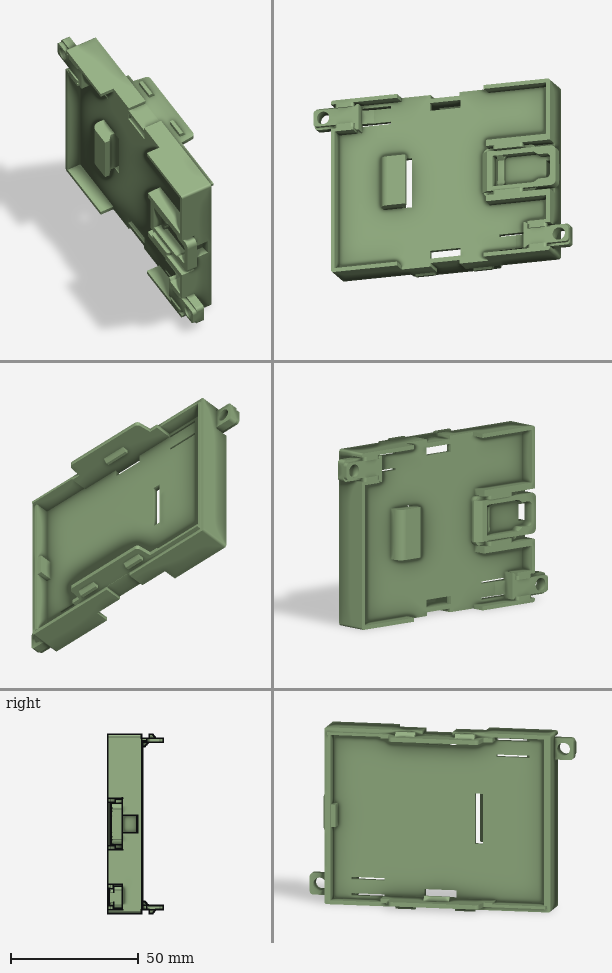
import cadquery as cq
import math


half_width = 45.3
half_height = 70.2 / 2
shell_depth = 13.3
wall = 1.6
corner_radius = 1.0
floor_y = 5.7
floor_thickness = 2.1
floor_back_y = floor_y + floor_thickness
inner_half_width = half_width - wall
inner_half_height = half_height - wall
rail_channel_half_width = 17.9

recess_half_width = 6.0
recess_depth = 1.5
window_half_width = 6.3
window_height = 3.2

rim_thickness = 1.1
rim_top_y = 15.2
side_rim_top_y = 13.6
tongue_thickness = 1.7
tongue_wall_half_width = 22.4
tongue_base_half_width = 18.8
tongue_tip_half_width = 17.9
tongue_tip_y = 21.7
tongue_corner_radius = 1.6
tongue_inner_z = inner_half_height - tongue_thickness
snap_centre_x = 11.9
snap_length = 7.8
snap_front_y = 16.1
snap_flat_y = 17.5
snap_back_y = 18.8
catch_half_width = 5.1
catch_height = 1.6
catch_tip_y = 14.5
catch_back_y = 15.9

hook_left_x = -25.3
hook_tip_x = -14.6
hook_root_x = -17.0
hook_half_length = 10.0
hook_tip_thickness = 1.9
hook_throat_y = 3.9
hook_radius = 3.3
hook_window_right_x = -13.7

guide_outer_z = 12.6
guide_inner_z = 10.0
guide_lip_z = 8.4
guide_lip_depth = 3.0
guide_lip_start_x = 21.5
guide_lip_end_x = 33.8
guide_front_x = 18.8
guide_draft = 0.3
lip_radius = 1.1

notch_left_x = 41.8
notch_half_height = 3.4
notch_depth_y = 11.4
notch_slope = 0.26
notch_wall = 1.1

clip_half_height = 8.1
clip_front_y = 1.5
clip_frame_start_x = 21.1
clip_frame_end_x = 47.2
clip_corner_radius = 2.1
clip_flange_start_x = 16.8
clip_flange_end_x = 38.5
clip_flange_half_height = 9.7
clip_flange_radius = 2.1
nose_tip_x = 16.3
nose_tip_front_y = 3.2
nose_tip_back_y = 4.1
nose_flat_x = 18.9
nose_front_y = 1.1
clip_window_half_height = 6.2
clip_window_end_x = 44.8
clip_window_narrow_half_height = 5.0
clip_window_taper_start_x = 38.1
clip_window_taper_end_x = 40.0
clip_window_radius = 1.7
spring_left_x = 22.6
spring_width = 2.3
spring_front_y = 3.9
spring_bulb_radius = 1.5
spring_bulb_z = -4.1
spring_root_radius = 1.6
spring_root_drop = 1.5

tab_centre_z = 28.6
tab_end_x = 52.8
tab_front_y = 0.6
tab_step_y = 2.3
tab_wide_half_height = 8.5 / 2
tab_narrow_half_height = 6.6 / 2
tab_corner_radius = 1.4
tab_hole_diameter = 5.1
tab_hole_x = 48.8
stop_outer_x = 35.7
stop_inner_x = 34.1
stop_low_z = 22.4
stop_chamfer = 0.8
tab_lip_depth = 2.2
tab_lip_end_x = 36.1
channel_low_z = 23.6
channel_wall = 1.3
latch_slot_inner_x = 22.4
latch_slot_height = 1.0
latch_half_height = 2.7
latch_ramp_x = 29.3
latch_rise = 0.8


def block(x0, x1, y0, y1, z0, z1):
    """Rectangular block between two opposite corners."""
    return cq.Workplane("XY").box(x1 - x0, y1 - y0, z1 - z0, centered=False).translate((x0, y0, z0))


def turned(shape):
    """The same shape after half a turn about the Y axis."""
    return shape.rotate((0, 0, 0), (0, 1, 0), 180)


def front_sketch(y1):
    """Workplane in X and Z; a positive extrusion runs from y1 toward the mounting face."""
    return cq.Workplane("XZ", origin=(0, y1, 0))


def lip(x0, x1, depth, z0, z1):
    """Retaining lip whose two ends are rounded toward the mounting face."""
    strip = block(x0, x1, 0, depth, z0, z1)
    return strip.edges("|Z and <Y").fillet(lip_radius)


def make_shell():
    shell = block(-half_width, half_width, 0, shell_depth, -half_height, half_height)
    shell = shell.edges("|Y").fillet(corner_radius)
    front_pocket = block(
        -inner_half_width, inner_half_width, 0, floor_y, -inner_half_height, inner_half_height
    )
    back_pocket = block(
        -inner_half_width, inner_half_width, floor_back_y, shell_depth, -inner_half_height, inner_half_height
    )
    rail_channel = block(
        -rail_channel_half_width, rail_channel_half_width, 0, floor_y, -half_height, half_height
    )
    return shell.cut(front_pocket).cut(back_pocket).cut(rail_channel)


def make_top_rim():
    """Rim along the top wall with its snap-in tongue, snap ridges and inner catch."""
    thin_rim = block(
        -tongue_wall_half_width, inner_half_width, floor_back_y, rim_top_y,
        inner_half_height - rim_thickness, inner_half_height,
    )
    thick_rim = block(
        -tongue_wall_half_width, tongue_wall_half_width, floor_y, rim_top_y,
        tongue_inner_z, inner_half_height,
    )
    tongue = (
        cq.Workplane("XY", origin=(0, 0, tongue_inner_z))
        .polyline([
            (-tongue_base_half_width, rim_top_y),
            (tongue_base_half_width, rim_top_y),
            (tongue_tip_half_width, tongue_tip_y),
            (-tongue_tip_half_width, tongue_tip_y),
        ])
        .close()
        .extrude(tongue_thickness)
        .edges("|Z and >Y")
        .fillet(tongue_corner_radius)
    )
    rim = thick_rim.union(thin_rim).union(tongue)

    for centre_x in (-snap_centre_x, snap_centre_x):
        ridge = (
            cq.Workplane("YZ", origin=(centre_x - snap_length / 2, 0, 0))
            .polyline([
                (snap_front_y, inner_half_height),
                (snap_front_y, half_height),
                (snap_flat_y, half_height),
                (snap_back_y, inner_half_height),
            ])
            .close()
            .extrude(snap_length)
        )
        rim = rim.union(ridge)

    catch = (
        cq.Workplane("YZ", origin=(-catch_half_width, 0, 0))
        .polyline([
            (shell_depth, tongue_inner_z),
            (shell_depth, tongue_inner_z - catch_height),
            (catch_tip_y, tongue_inner_z - catch_height),
            (catch_back_y, tongue_inner_z),
        ])
        .close()
        .extrude(2 * catch_half_width)
    )
    return rim.union(catch)


def make_left_rim():
    """Low rim along the inside of the left wall."""
    return block(
        -inner_half_width, rim_thickness - inner_half_width, floor_back_y, side_rim_top_y,
        -inner_half_height, inner_half_height,
    )


def make_top_openings():
    """Outer recess of the top wall and the window through the floor beside it."""
    recess = block(
        -recess_half_width, recess_half_width, 0, shell_depth, half_height - recess_depth, half_height
    )
    window = block(
        -window_half_width, window_half_width, floor_y, floor_back_y,
        tongue_inner_z - window_height, tongue_inner_z,
    )
    return recess.union(window)


def make_rail_hook():
    arc_offset = hook_radius * (1 - math.sqrt(0.5))
    return (
        cq.Workplane("XY", origin=(0, 0, -hook_half_length))
        .moveTo(hook_left_x, floor_y)
        .lineTo(hook_left_x, hook_radius)
        .threePointArc((hook_left_x + arc_offset, arc_offset), (hook_left_x + hook_radius, 0))
        .lineTo(hook_tip_x, 0)
        .lineTo(hook_tip_x, hook_tip_thickness)
        .lineTo(hook_root_x, hook_throat_y)
        .lineTo(hook_root_x, floor_y)
        .close()
        .extrude(2 * hook_half_length)
    )


def make_clip_guide():
    """Upper guide of the clip: a wall with a retaining lip over the clip flange."""
    guide = (
        cq.Workplane("XY", origin=(0, 0, guide_inner_z))
        .polyline([
            (guide_front_x, 0),
            (half_width, 0),
            (half_width, floor_y),
            (guide_front_x - guide_draft, floor_y),
        ])
        .close()
        .extrude(guide_outer_z - guide_inner_z)
    )
    return guide.union(
        lip(guide_lip_start_x, guide_lip_end_x, guide_lip_depth, guide_lip_z, guide_inner_z)
    )


def make_notch_surround():
    """Block behind the floor that closes the pry notch."""
    return block(
        notch_left_x - notch_wall, inner_half_width, floor_back_y, shell_depth,
        -notch_half_height - notch_wall, notch_half_height + notch_wall,
    )


def make_notch():
    """Pry notch, open to the side, with a slightly sloping bottom."""
    return (
        cq.Workplane("XY", origin=(0, 0, -notch_half_height))
        .polyline([
            (notch_left_x, floor_y),
            (half_width, floor_y),
            (half_width, notch_depth_y + notch_slope),
            (notch_left_x, notch_depth_y),
        ])
        .close()
        .extrude(2 * notch_half_height)
    )


def make_tab_channel():
    """Lower wall of the top left tab channel and the two lips that hold the tab."""
    lower_wall = block(
        -half_width, -tab_lip_end_x, 0, floor_y, channel_low_z - channel_wall, channel_low_z
    )
    upper_lip = lip(
        -inner_half_width, -tab_lip_end_x, tab_lip_depth,
        tab_centre_z + tab_narrow_half_height, inner_half_height,
    )
    lower_lip = lip(
        -inner_half_width, -tab_lip_end_x, tab_lip_depth,
        channel_low_z, tab_centre_z - tab_narrow_half_height,
    )
    return lower_wall.union(upper_lip).union(lower_lip)


def make_tab_entry():
    """Opening of the top left tab channel through the left wall."""
    return block(-half_width, -inner_half_width, 0, floor_y, channel_low_z, inner_half_height)


def make_latch_tooth():
    """Ramp on the springy floor strip that blocks the top left tab."""
    return (
        cq.Workplane("XY", origin=(0, 0, tab_centre_z - latch_half_height))
        .polyline([
            (-stop_inner_x, floor_y),
            (-stop_inner_x, floor_y - latch_rise),
            (-latch_ramp_x, floor_y),
        ])
        .close()
        .extrude(2 * latch_half_height)
    )


def make_latch_slots():
    """Two slots through the floor that free the springy strip of the top left latch."""
    upper_slot = block(
        -stop_outer_x, -latch_slot_inner_x, floor_y, floor_back_y,
        tab_centre_z + latch_half_height, tab_centre_z + latch_half_height + latch_slot_height,
    )
    return upper_slot.union(upper_slot.mirror("XY", (0, 0, tab_centre_z)))


def make_housing():
    clip_entry = block(inner_half_width, half_width, 0, floor_y, -guide_inner_z, guide_inner_z)
    hook_window = block(
        hook_root_x, hook_window_right_x, floor_y, floor_back_y, -hook_half_length, hook_half_length
    )
    guide = make_clip_guide()
    housing = make_shell().cut(clip_entry).cut(hook_window).union(make_rail_hook())
    housing = housing.union(guide).union(guide.mirror("XY"))
    housing = housing.union(make_notch_surround())

    half_additions = [make_top_rim(), make_left_rim(), make_tab_channel(), make_latch_tooth()]
    half_cuts = [make_top_openings(), make_tab_entry(), make_latch_slots()]
    for cutter in half_cuts:
        housing = housing.cut(cutter).cut(turned(cutter))
    for addition in half_additions:
        housing = housing.union(addition).union(turned(addition))
    return housing.cut(make_notch())


def make_clip_window():
    """Opening of the clip frame, narrower and rounded at its outer end."""
    outline = [
        (clip_frame_start_x, clip_window_half_height),
        (clip_window_taper_start_x, clip_window_half_height),
        (clip_window_taper_end_x, clip_window_narrow_half_height),
        (clip_window_end_x, clip_window_narrow_half_height),
    ]
    outline += [(x, -z) for x, z in reversed(outline)]
    window = front_sketch(floor_y).polyline(outline).close().extrude(floor_y)
    return window.edges("|Y and >X").fillet(clip_window_radius)


def make_spring():
    """Spring arm in the clip window, hanging from the frame and ending in a bulb."""
    spring_right_x = spring_left_x + spring_width
    spring_centre_x = spring_left_x + spring_width / 2
    depth = floor_y - spring_front_y
    arm = block(
        spring_left_x, spring_right_x, spring_front_y, floor_y, spring_bulb_z, clip_window_half_height
    )
    bulb = (
        front_sketch(floor_y).center(spring_centre_x, spring_bulb_z).circle(spring_bulb_radius).extrude(depth)
    )
    arc_offset = spring_root_radius * (1 - math.sqrt(0.5))
    root_z = clip_window_half_height
    root_fillet = (
        front_sketch(floor_y)
        .moveTo(spring_right_x, root_z)
        .lineTo(spring_right_x + spring_root_radius, root_z)
        .threePointArc(
            (spring_right_x + arc_offset, root_z - arc_offset),
            (spring_right_x, root_z - spring_root_radius),
        )
        .close()
        .extrude(depth)
    )
    root_slope = (
        cq.Workplane("YZ", origin=(spring_left_x, 0, 0))
        .polyline([
            (clip_front_y, root_z),
            (spring_front_y, root_z),
            (spring_front_y, root_z - spring_root_drop),
        ])
        .close()
        .extrude(spring_width)
    )
    return arm.union(bulb).union(root_fillet).union(root_slope)


def make_clip():
    frame = block(
        clip_frame_start_x, clip_frame_end_x, clip_front_y, floor_y, -clip_half_height, clip_half_height
    )
    frame = frame.edges("|Y and >X").fillet(clip_corner_radius)
    flange = block(
        clip_flange_start_x, clip_flange_end_x, guide_lip_depth, floor_y,
        -clip_flange_half_height, clip_flange_half_height,
    )
    flange = flange.edges("|Y").fillet(clip_flange_radius)
    nose = (
        cq.Workplane("XY", origin=(0, 0, -clip_half_height))
        .polyline([
            (nose_tip_x, nose_tip_front_y),
            (nose_flat_x, nose_front_y),
            (clip_frame_start_x, nose_front_y),
            (clip_frame_start_x, nose_tip_back_y),
            (nose_tip_x, nose_tip_back_y),
        ])
        .close()
        .extrude(2 * clip_half_height)
    )
    return frame.union(flange).union(nose).cut(make_clip_window()).union(make_spring())


def make_tab():
    """Top left screw tab: a stepped slide with a stop across its inner end."""
    wide = block(
        -tab_end_x, -stop_inner_x, tab_step_y, floor_y,
        tab_centre_z - tab_wide_half_height, tab_centre_z + tab_wide_half_height,
    )
    wide = wide.edges("|Y and <X").fillet(tab_corner_radius)
    narrow = block(
        -tab_end_x, -stop_inner_x, tab_front_y, tab_step_y,
        tab_centre_z - tab_narrow_half_height, tab_centre_z + tab_narrow_half_height,
    )
    narrow = narrow.edges("|Y and <X").fillet(tab_corner_radius)
    stop = block(
        -stop_outer_x, -stop_inner_x, tab_front_y, floor_y,
        stop_low_z, tab_centre_z + tab_wide_half_height,
    )
    stop = stop.edges("|Y and <X").chamfer(stop_chamfer)
    hole = (
        front_sketch(floor_y).center(-tab_hole_x, tab_centre_z).circle(tab_hole_diameter / 2).extrude(floor_y)
    )
    return wide.union(narrow).union(stop).cut(hole)


housing = make_housing()
clip = make_clip()
tabs = []
for angle in (0, 180):
    tabs.append(make_tab().rotate((0, 0, 0), (0, 1, 0), angle))

result = cq.Compound.makeCompound([housing.val(), clip.val(), *[tab.val() for tab in tabs]])